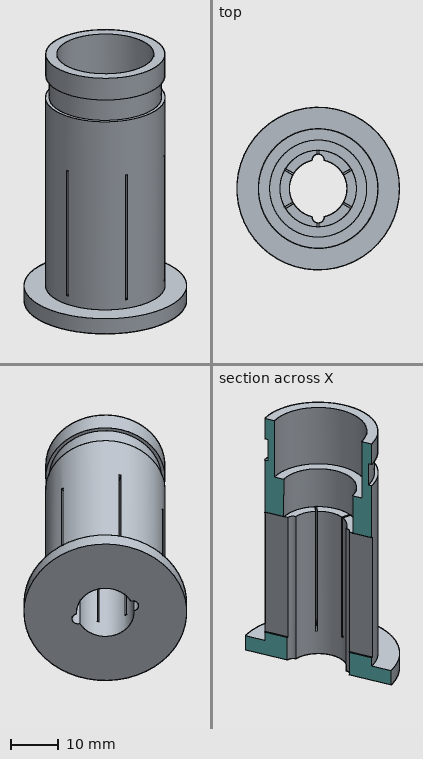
import cadquery as cq

total_height = 56.5
flange_diameter = 34.0
flange_thickness = 3.5
body_diameter = 25.05
collar_diameter = 24.9
collar_height = 5.0
groove_height = 5.0
groove_diameter = 23.5

mouth_diameter = 20.3
mouth_depth = 13.45
relief_diameter = 16.0
clamp_diameter = 12.0

channel_diameter = 2.5
channel_tip_radius = 7.2

slot_count = 6
slot_width = 0.4
slot_bottom = 5.5
slot_top = 34.0

groove_top = total_height - collar_height
groove_bottom = groove_top - groove_height
mouth_floor = total_height - mouth_depth
relief_floor = slot_top


def cylinder(diameter, bottom, top):
    """Upright cylinder on the Z axis between two heights."""
    return cq.Workplane("XY").workplane(offset=bottom).circle(diameter / 2).extrude(top - bottom)


def sleeve_outside():
    """Flanged sleeve with a ring groove below its top collar."""
    return (
        cylinder(flange_diameter, 0, flange_thickness)
        .union(cylinder(body_diameter, flange_thickness, groove_bottom))
        .union(cylinder(groove_diameter, groove_bottom, groove_top))
        .union(cylinder(collar_diameter, groove_top, total_height))
    )


def stepped_bore():
    """Through bore that widens in two steps towards the top."""
    return (
        cylinder(clamp_diameter, 0, total_height)
        .union(cylinder(relief_diameter, relief_floor, total_height))
        .union(cylinder(mouth_diameter, mouth_floor, total_height))
    )


def channels():
    """Round channels breaking out of the clamping bore on its +Y and -Y sides."""
    channel_offset = channel_tip_radius - channel_diameter / 2
    return (
        cq.Workplane("XY")
        .pushPoints([(0, channel_offset), (0, -channel_offset)])
        .circle(channel_diameter / 2)
        .extrude(relief_floor)
    )


def slots():
    """Evenly spaced upright slots; each box cuts two opposite ones."""
    slot_blade = (
        cq.Workplane("XY")
        .workplane(offset=slot_bottom)
        .rect(slot_width, flange_diameter)
        .extrude(slot_top - slot_bottom)
    )
    blades = slot_blade
    for index in range(1, slot_count // 2):
        turn = index * 360 / slot_count
        blades = blades.union(slot_blade.rotate((0, 0, 0), (0, 0, 1), turn))
    return blades


result = sleeve_outside().cut(stepped_bore()).cut(channels()).cut(slots())